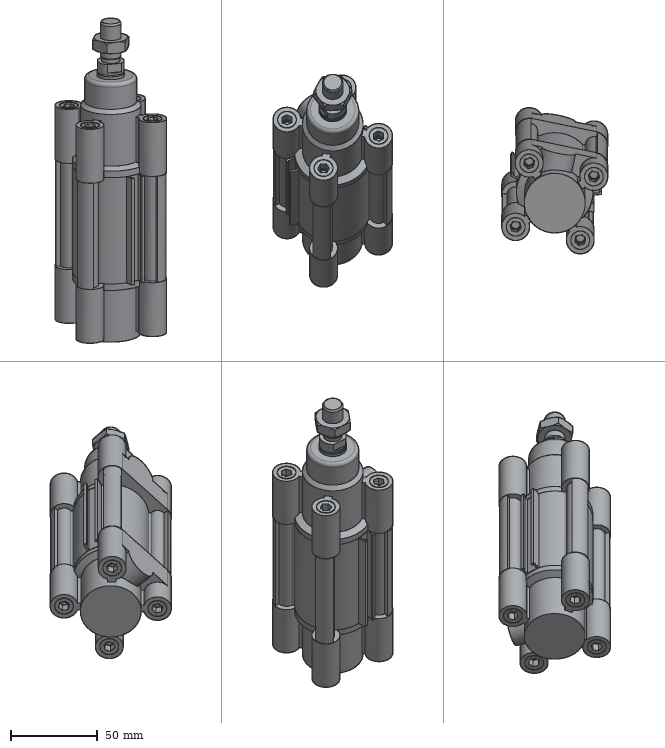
import cadquery as cq
import math

total_height = 189.0
body_height = 138.2
boss_inset = 4.2
boss_length = 32.7
cover_length = boss_inset + boss_length
barrel_bottom = cover_length
barrel_top = body_height - cover_length
half_width = 27.0

neck_diameter = 35.0
flange_diameter = 44.0
flange_thickness = 4.0
flange_cone_height = 1.5
boss_diameter = 16.0
boss_offset = half_width - boss_diameter / 2
web_thickness = 4.7
half_hexagon_turn = 30
corners = [(sx, sy) for sx in (-1, 1) for sy in (-1, 1)]

recess_diameter = 10.8
recess_depth = 0.4
socket_across_flats = 5.7
socket_depth = 5.5
pilot_diameter = 5.0
pilot_depth = 1.9

port_diameter = 20.0
port_offset = 3.4
port_plate_inner = 13.2
port_axis_height = 20.0

collar_diameter = 30.0
collar_top = 156.1
collar_fillet = 2.3
shoulder_top = 140.5

barrel_diameter = flange_diameter
column_diameter = 10.0
column_guard_diameter = 15.5
guard_setback = 3.5
column_fillet = 1.0

rail_angle = 17.5
rail_reach = 26.6
rail_root = 20.8
rail_floor = 21.7
rail_width = 9.0
lip_thickness = 1.1
hook_thickness = 1.1
hook_overhang = 0.8

rod_diameter = 16.0
rod_end_diameter = 15.5
rod_shoulder = 157.8
rod_chamfer_height = 0.8
wrench_flats = 13.0
wrench_flats_bottom = 159.9
rod_end_top = 165.0
groove_diameter = 10.5
groove_top = 167.3
thread_diameter = 12.0
thread_chamfer_radial = 0.8
thread_chamfer_height = 1.3
groove_chamfer = (thread_diameter - groove_diameter) / 2

nut_across_flats = 19.0
nut_bottom = 172.4
nut_height = 6.8
nut_face_diameter = 19.5
nut_chamfer_height = 0.8


def cylinder(diameter, bottom, top, x=0.0, y=0.0):
    return cq.Workplane("XY", origin=(x, y, bottom)).circle(diameter / 2).extrude(top - bottom)


def hexagon(across_flats, bottom, height):
    """Upright hexagonal prism on the Z axis with two corners along X."""
    across_corners = across_flats / math.cos(math.radians(half_hexagon_turn))
    return cq.Workplane("XY", origin=(0, 0, bottom)).polygon(6, across_corners).extrude(height)


def revolved(profile):
    """Solid of revolution about Z from (radius, height) points."""
    return cq.Workplane("XZ").polyline(profile).close().revolve(360, (0, 0), (0, 1))


def corner_webs():
    """Two crossed diagonal ribs joining opposite bosses through the axis."""
    diagonal = 2 * math.hypot(boss_offset, boss_offset)
    rib = (
        cq.Workplane("XY", origin=(0, 0, boss_inset))
        .rect(diagonal, web_thickness)
        .extrude(boss_length)
    )
    rising = rib.rotate((0, 0, 0), (0, 0, 1), 45)
    falling = rib.rotate((0, 0, 0), (0, 0, 1), -45)
    return rising.union(falling)


def port_pad():
    """Round-topped port pad on a plate that spans the two +Y bosses."""
    plate = (
        cq.Workplane("XY", origin=(-boss_offset, port_plate_inner, port_axis_height))
        .rect(2 * boss_offset, half_width - port_plate_inner, centered=False)
        .extrude(cover_length - port_axis_height)
    )
    port = (
        cq.Workplane("XZ", origin=(port_offset, 0, port_axis_height))
        .circle(port_diameter / 2)
        .extrude(-half_width)
    )
    return plate.union(port)


def screw_socket(sx, sy):
    """Shallow round recess with a hexagon socket and a round pilot, at one boss."""
    recess_floor = boss_inset + recess_depth
    socket_floor = recess_floor + socket_depth
    turn = half_hexagon_turn if sx == sy else 0
    socket = hexagon(socket_across_flats, recess_floor, socket_depth).rotate((0, 0, 0), (0, 0, 1), turn)
    return (
        cylinder(recess_diameter, boss_inset, recess_floor)
        .union(socket)
        .union(cylinder(pilot_diameter, socket_floor, socket_floor + pilot_depth))
        .translate((sx * boss_offset, sy * boss_offset, 0))
    )


def end_cover():
    """End cover with its outer face at Z = 0 and its barrel face at cover_length."""
    flange_edge = cover_length - flange_thickness
    cover = revolved([
        (0, 0),
        (neck_diameter / 2, 0),
        (neck_diameter / 2, flange_edge - flange_cone_height),
        (flange_diameter / 2, flange_edge),
        (flange_diameter / 2, cover_length),
        (0, cover_length),
    ])
    cover = cover.union(corner_webs()).union(port_pad())
    for sx, sy in corners:
        boss = cylinder(boss_diameter, boss_inset, cover_length, sx * boss_offset, sy * boss_offset)
        cover = cover.union(boss)
    for sx, sy in corners:
        cover = cover.cut(screw_socket(sx, sy))
    return cover


def make_front_cover():
    """End cover turned over, with a guide collar and a bore for the rod."""
    cover = end_cover().mirror("XY").translate((0, 0, body_height))
    shoulder = revolved([
        (0, body_height),
        (neck_diameter / 2, body_height),
        (collar_diameter / 2, shoulder_top),
        (0, shoulder_top),
    ])
    collar = cylinder(collar_diameter, shoulder_top, collar_top).faces(">Z").edges().fillet(collar_fillet)
    bore = cylinder(rod_diameter, barrel_top, collar_top)
    return cover.union(shoulder).union(collar).cut(bore)


def column_guard(sx, sy):
    """Nearly quarter-round guard on the outward side of one corner column.

    A disc is trimmed by a wedge whose sides are longer than the disc radius.
    """
    reach = column_guard_diameter
    setback = math.radians(guard_setback)
    near = reach * math.sin(setback)
    far = reach * math.cos(setback)
    wedge = (
        cq.Workplane("XY", origin=(sx * boss_offset, sy * boss_offset, barrel_bottom))
        .polyline([(0, 0), (sx * far, sy * near), (sx * near, sy * far)])
        .close()
        .extrude(barrel_top - barrel_bottom)
    )
    disc = cylinder(column_guard_diameter, barrel_bottom, barrel_top, sx * boss_offset, sy * boss_offset)
    return wedge.intersect(disc)


def rail_block(inner, outer, side_low, side_high):
    """Block along the barrel; inner and outer are measured out along +X, sides along Y."""
    return (
        cq.Workplane("XY", origin=(inner, side_low, barrel_bottom))
        .rect(outer - inner, side_high - side_low, centered=False)
        .extrude(barrel_top - barrel_bottom)
    )


def tilt_rail(block):
    return block.rotate((0, 0, 0), (0, 0, 1), rail_angle)


def rail_lips():
    """Two hooked lips of the +X sensor rail."""
    side = rail_width / 2
    lip = rail_block(rail_root, rail_reach, side - lip_thickness, side)
    hook = rail_block(rail_reach - hook_thickness, rail_reach, side - lip_thickness - hook_overhang, side)
    upper = lip.union(hook)
    return tilt_rail(upper.union(upper.mirror("XZ")))


def rail_slot():
    """Clearance that flattens the barrel between the lips of the +X sensor rail."""
    side = rail_width / 2 - lip_thickness
    return tilt_rail(rail_block(rail_floor, rail_reach, -side, side))


def make_barrel():
    barrel = cylinder(barrel_diameter, barrel_bottom, barrel_top)
    for sx, sy in corners:
        column = cylinder(column_diameter, barrel_bottom, barrel_top, sx * boss_offset, sy * boss_offset)
        barrel = barrel.union(column)
    seam_limit = (barrel_diameter - column_diameter) / 2
    seams = cq.selectors.BoxSelector(
        (-seam_limit, -seam_limit, barrel_bottom),
        (seam_limit, seam_limit, barrel_top),
    )
    barrel = barrel.edges("|Z").edges(seams).fillet(column_fillet)
    for sx, sy in corners:
        barrel = barrel.union(column_guard(sx, sy))
    slot = rail_slot()
    lips = rail_lips()
    barrel = barrel.cut(slot).cut(slot.mirror("YZ"))
    return barrel.union(lips).union(lips.mirror("YZ"))


def make_rod():
    """Piston rod with wrench flats, a relief groove and a threaded end."""
    rod_radius = rod_diameter / 2
    end_radius = rod_end_diameter / 2
    groove_radius = groove_diameter / 2
    thread_radius = thread_diameter / 2
    rod = revolved([
        (0, barrel_top),
        (rod_radius, barrel_top),
        (rod_radius, rod_shoulder),
        (end_radius, rod_shoulder + rod_chamfer_height),
        (end_radius, rod_end_top),
        (groove_radius, rod_end_top),
        (groove_radius, groove_top),
        (thread_radius, groove_top + groove_chamfer),
        (thread_radius, total_height - thread_chamfer_height),
        (thread_radius - thread_chamfer_radial, total_height),
        (0, total_height),
    ])
    flats_height = rod_end_top - wrench_flats_bottom
    sleeve = cylinder(rod_diameter, wrench_flats_bottom, rod_end_top)
    kept = cq.Workplane("XY", origin=(0, 0, wrench_flats_bottom)).rect(wrench_flats, rod_diameter)
    return rod.cut(sleeve.cut(kept.extrude(flats_height)))


def make_nut():
    """Hexagon nut with chamfered corners and two flats facing along X."""
    nut_top = nut_bottom + nut_height
    corner_radius = nut_across_flats / 2 / math.cos(math.radians(half_hexagon_turn))
    face_radius = nut_face_diameter / 2
    envelope = revolved([
        (0, nut_bottom),
        (face_radius, nut_bottom),
        (corner_radius, nut_bottom + nut_chamfer_height),
        (corner_radius, nut_top - nut_chamfer_height),
        (face_radius, nut_top),
        (0, nut_top),
    ])
    prism = hexagon(nut_across_flats, nut_bottom, nut_height).rotate((0, 0, 0), (0, 0, 1), half_hexagon_turn)
    return prism.intersect(envelope).cut(cylinder(thread_diameter, nut_bottom, nut_top))


rear_cover = end_cover()
barrel = make_barrel()
front_cover = make_front_cover()
piston_rod = make_rod()
nut = make_nut()

result = cq.Compound.makeCompound([
    rear_cover.val(),
    barrel.val(),
    front_cover.val(),
    piston_rod.val(),
    nut.val(),
])